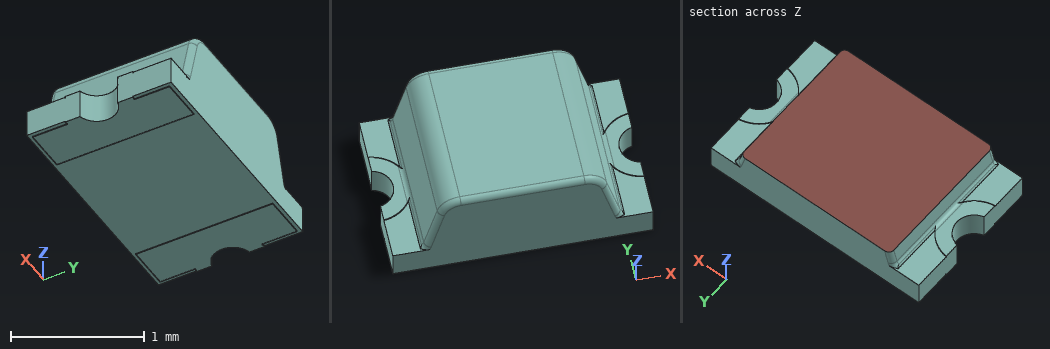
import cadquery as cq
import math

length = 2.0
width = 1.25
height = 0.8
copper = 0.008
board_top = 0.245
ring_top = board_top + copper

via_radius = 0.165
ring_radius = 0.295
via_center_x = length / 2 + 0.035

pad_length = 0.37
pad_inset = 0.032
pad_width = width - 2 * pad_inset

flank_angle = math.radians(75)
crown_half = 0.475
crown_radius = 0.18
foot_radius = 0.045
side_round = 0.048
foot_bevel_x = 0.785
foot_bevel_run = 0.015
foot_bevel_rise = 0.018


def box_between(z_low, z_high, size_x, size_y, center_x=0):
    """Box centred in Y that spans the given heights."""
    base = cq.Workplane("XY").workplane(offset=z_low).center(center_x, 0)
    return base.rect(size_x, size_y).extrude(z_high - z_low)


def via_cylinder(side, radius):
    """Full-height cylinder on a via axis; side is -1 or 1."""
    return cq.Workplane("XY").center(side * via_center_x, 0).circle(radius).extrude(ring_top)


def crown_point(angle):
    """Point on the right crown arc, at an angle measured from vertical."""
    return (
        crown_half + crown_radius * math.sin(angle),
        height - crown_radius + crown_radius * math.cos(angle),
    )


flank_top = crown_point(flank_angle)
flank_foot_x = flank_top[0] + (flank_top[1] - ring_top) / math.tan(flank_angle)
foot_end_x = flank_foot_x + foot_radius * math.tan(flank_angle / 2)


def foot_point(angle):
    """Point on the right foot arc, at an angle measured from straight down."""
    return (
        foot_end_x - foot_radius * math.sin(angle),
        ring_top + foot_radius * (1 - math.cos(angle)),
    )


def mirrored(point):
    return (-point[0], point[1])


def lens_blank():
    """Domed block with rounded sides, its feet running out flat to the board ends."""
    crown_mid = crown_point(flank_angle / 2)
    foot_top = foot_point(flank_angle)
    foot_mid = foot_point(flank_angle / 2)
    foot_end = (foot_end_x, ring_top)
    profile = (
        cq.Workplane("XZ", origin=(0, width / 2, 0))
        .moveTo(-length / 2, 0)
        .lineTo(length / 2, 0)
        .lineTo(length / 2, ring_top)
        .lineTo(*foot_end)
        .threePointArc(foot_mid, foot_top)
        .lineTo(*flank_top)
        .threePointArc(crown_mid, (crown_half, height))
        .lineTo(-crown_half, height)
        .threePointArc(mirrored(crown_mid), mirrored(flank_top))
        .lineTo(*mirrored(foot_top))
        .threePointArc(mirrored(foot_mid), mirrored(foot_end))
        .lineTo(-length / 2, ring_top)
        .close()
    )
    block = profile.extrude(width)
    return block.faces("<Y or >Y").edges("not(<Z or <X or >X)").fillet(side_round)


def lens_envelope():
    """Space the lens may fill: bevelled feet, reaching further out over the rings."""
    bevel_top_x = foot_bevel_x - foot_bevel_run
    bevel_top_z = board_top + foot_bevel_rise
    envelope = (
        cq.Workplane("XZ", origin=(0, width / 2, 0))
        .moveTo(-foot_bevel_x, board_top)
        .lineTo(foot_bevel_x, board_top)
        .lineTo(bevel_top_x, bevel_top_z)
        .lineTo(bevel_top_x, height)
        .lineTo(-bevel_top_x, height)
        .lineTo(-bevel_top_x, bevel_top_z)
        .close()
        .extrude(width)
    )
    over_rings = box_between(board_top, height, 2 * foot_end_x, width)
    for side in (-1, 1):
        ring_column = cq.Workplane("XY").center(side * via_center_x, 0).circle(ring_radius).extrude(height)
        envelope = envelope.union(ring_column.intersect(over_rings))
    return envelope


def bottom_pad(side):
    center_x = side * (length / 2 - pad_inset - pad_length / 2)
    return box_between(0, copper, pad_length, pad_width, center_x)


board_limits = box_between(0, ring_top, length, width)
result = box_between(copper, board_top, length, width)
for side in (-1, 1):
    result = result.union(via_cylinder(side, ring_radius).intersect(board_limits))
    result = result.union(bottom_pad(side))
result = result.union(lens_blank().intersect(lens_envelope()))
for side in (-1, 1):
    result = result.cut(via_cylinder(side, via_radius))